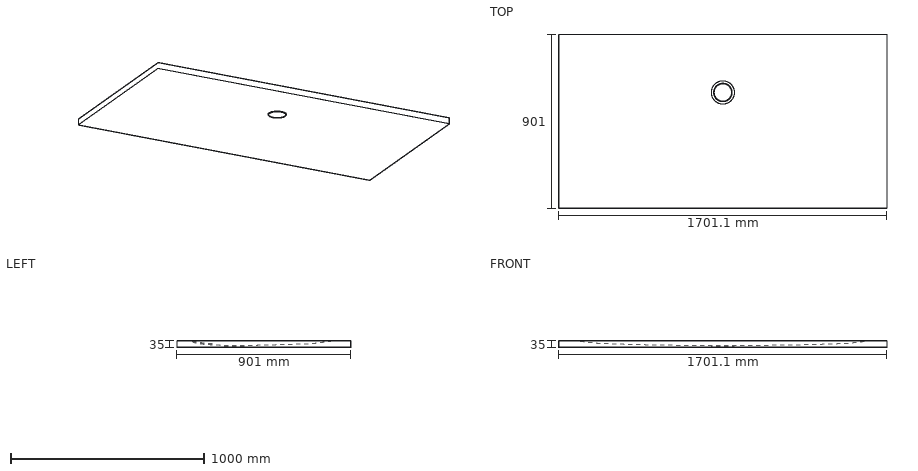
import cadquery as cq


length = 1701.07
width = 901.01
thickness = 35.0
edge_radius = 5.0

dish_length = 1545.0
dish_width = 752.0
dish_depth = 26.0
half_length = dish_length / 2
half_width = dish_width / 2

wall_share = 0.4
back_wall_share = 0.5
wall_run = 42.0
back_wall_run = 11.0
fall_power = 2

grid_steps = 40
grading_power = 2
fit_tolerance = 0.02
lowest_degree = 3
highest_degree = 6

drain_y = 150.0
funnel_diameter = 120.0
funnel_depth = 6.0
seat_diameter = 96.0
hole_diameter = 90.0
seat_z = thickness - dish_depth - funnel_depth


def drop_fraction(from_rim, run, share, steep_run):
    """Part of the full drop reached at a distance from the rim: 0 at the rim, 1 at the drain."""
    remaining = 1 - from_rim / run
    wall = 1 - remaining ** (run / steep_run)
    fall = 1 - remaining**fall_power
    return share * wall + (1 - share) * fall


def floor_point(x, y):
    """Point on the floor, deepest at the drain centre and level with the rim along the dish edge."""
    across = drop_fraction(half_length - abs(x), half_length, wall_share, wall_run)
    if y > drain_y:
        along = drop_fraction(half_width - y, half_width - drain_y, back_wall_share, back_wall_run)
    else:
        along = drop_fraction(half_width + y, half_width + drain_y, wall_share, wall_run)
    return cq.Vector(x, y, thickness - dish_depth * across * along)


def graded_stations(middle, end):
    """Stations from middle to end, packed closer together towards the end."""
    fractions = [1 - (1 - i / grid_steps) ** grading_power for i in range(grid_steps + 1)]
    return [middle + (end - middle) * fraction for fraction in fractions]


def two_sided_stations(start, middle, end):
    """Stations from start through middle to end, closer together at both ends."""
    return graded_stations(middle, start)[:0:-1] + graded_stations(middle, end)


def make_body():
    """Plain slab with rounded corners and a rounded top edge."""
    body = cq.Workplane("XY").box(length, width, thickness, centered=(True, True, False))
    return body.edges("|Z or >Z").fillet(edge_radius)


def make_dish():
    """Solid between the rim plane and the dished floor."""
    x_stations = two_sided_stations(-half_length, 0, half_length)
    y_stations = two_sided_stations(-half_width, drain_y, half_width)
    points = [[floor_point(x, y) for y in y_stations] for x in x_stations]
    floor = cq.Face.makeSplineApprox(points, tol=fit_tolerance, minDeg=lowest_degree, maxDeg=highest_degree)
    lid = cq.Face.makeFromWires(floor.outerWire())
    return cq.Solid.makeSolid(cq.Shell.makeShell([floor, lid]))


def make_drain():
    """Tapered funnel down to a flat seat, with the waste hole through the middle."""
    funnel_radius = funnel_diameter / 2
    seat_radius = seat_diameter / 2
    hole_radius = hole_diameter / 2
    return (
        cq.Workplane("XZ")
        .moveTo(0, 0)
        .lineTo(hole_radius, 0)
        .lineTo(hole_radius, seat_z)
        .lineTo(seat_radius, seat_z)
        .lineTo(funnel_radius, seat_z + funnel_depth)
        .lineTo(funnel_radius, thickness)
        .lineTo(0, thickness)
        .close()
        .revolve()
        .translate((0, drain_y, 0))
    )


result = make_body().cut(cq.Workplane(make_dish())).cut(make_drain()).solids()